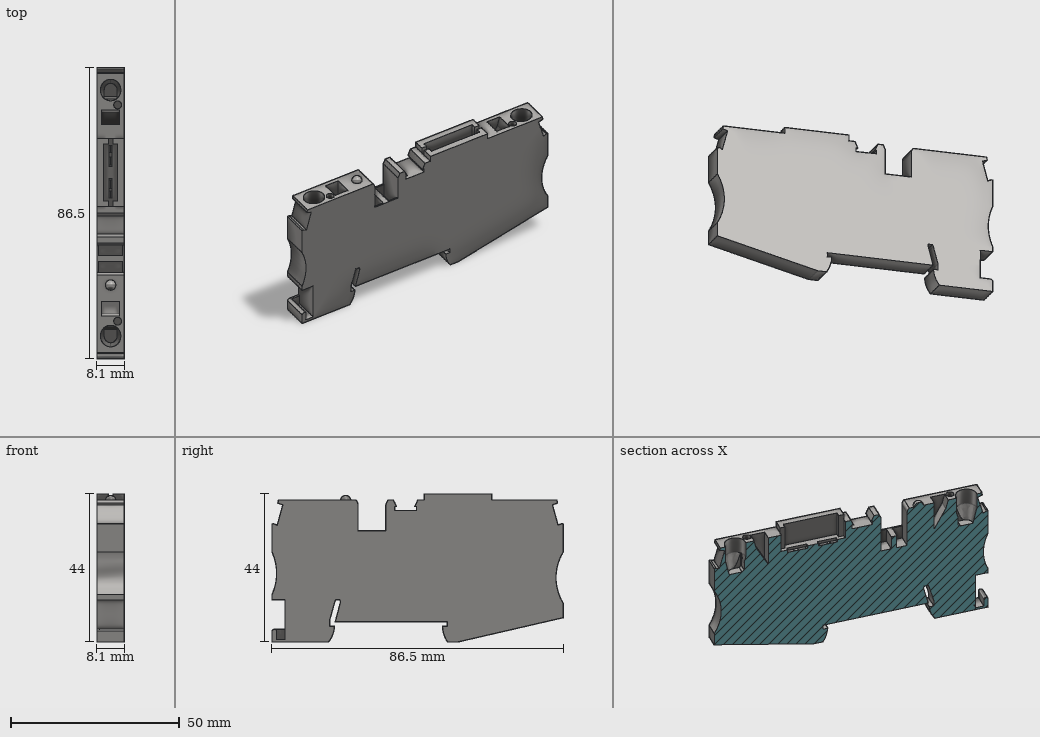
import cadquery as cq

THICKNESS = 8.1
LENGTH = 86.5
HEIGHT = 44.0
HOUSING_TOP = 42.2
END = LENGTH / 2

LIP_TOP_Y = 41.35
LIP_Y = 41.5
LIP_Z = 41.3
RECESS_TOP = (40.05, 40.7)
RECESS_BOTTOM = (41.7, 34.8)
RIDGE_Y = 42.7
RIDGE_Z = 35.2
SHOULDER_Z = 35.1
GRIP_TOP_Z = 26.8

BACK_GRIP_DEPTH = 2.2
BACK_GRIP_BOTTOM_Z = 11.5
BACK_CORNER_Z = 7.3
UNDERSIDE_END_Y = 11.8

SEAT_Z = 6.05
HOOK_Z = 4.8
HOOK_SHOULDER_Z = 4.5
FIXED_HOOK_ROOT_Y = 8.7
FIXED_HOOK_TIP_Y = 7.35
FIXED_HOOK_MID = (7.9, 2.0)
FIXED_HOOK_BASE_Y = 8.9
SEAT_FRONT_Y = -24.5
SPRING_SLOT_TOP_Z = 12.5
SPRING_SLOT_CORNER_Z = 11.9
SPRING_SLOT_TOP_YS = (-23.1, -24.3)
SPRING_SLOT_BACK_Y = -22.9
SPRING_SLOT_FRONT_Y = -24.6
SPRING_HOOK_ROOT_Y = -26.0
SPRING_SLOT_BEND_Z = 6.7
SPRING_HOOK_TIP_Y = -24.65
SPRING_HOOK_MID = (-25.3, 2.0)
SPRING_HOOK_BASE_Y = -26.5

FOOT_Z = 3.9
FOOT_LIP_EDGE_Z = 3.3
FOOT_LIP_MID = (-42.9, 3.7)
FOOT_LIP_CREST_Y = -42.4
FOOT_LIP_INNER_RADIUS = 0.5
FOOT_POCKET_SIDE_X = -3.4
FOOT_POCKET_FLOOR_Z = 0.9
NOTCH_Y = -39.4
NOTCH_TOP_Z = 12.5
FRONT_GRIP_DEPTH = 1.4
FRONT_GRIP_BOTTOM_Z = 14.1

SLOT_YS = (-17.65, -9.5)
SLOT_FLOOR_Z = 33.1
SLOT_LEAD_IN = 0.7
SLOT_LEAD_IN_Z = 40.7
SLOT_POCKET_WIDTH = 7.2
SLOT_POCKET_DEPTH = 4.3
SLOT_POCKET_YS = ((-17.65, -14.45), (-12.6, -9.5))

MARKER_YS = (-6.75, -0.35)
MARKER_FLOOR_Z = 39.1
MARKER_LIP_Z = 40.2
MARKER_LIP = 0.5
MARKER_MOUTH_YS = (-7.2, 0.0)

BLOCK_YS = (1.9, 22.1)
CAVITY_YS = (3.55, 20.5)
CAVITY_WIDTH = 4.15
CHANNEL_WIDTH = 1.3
CAVITY_FLOOR_Z = 36.3
SLIT_WIDTH = 0.9
SLIT_DEPTH = 0.9
SLIT_V_DEPTH = 0.9
SLIT_YS = ((4.4, 10.3), (13.75, 20.0))
SLIT_V_YS = ((4.4, 6.5), (7.35, 9.8), (14.2, 16.6), (17.9, 20.0))

FUNNEL_Y = 36.5
FUNNEL_RADII = (3.0, 3.2)
FUNNEL_BORE_RADII = (1.9, 2.0)
FUNNEL_STRAIGHT_DEPTH = 5.2
FUNNEL_DEPTH = 10.4
FUNNEL_FLAT_RISE = 0.5
FUNNEL_FLAT_RUN = 0.7
FUNNEL_FLAT_WIDTH = 3.9
TEST_HOLE_X = 2.1
TEST_HOLE_Y = 32.1
TEST_HOLE_DIAMETER = 2.3
TEST_HOLE_DEPTH = 4.3
RELEASE_X = -0.1
RELEASE_WIDTH = 5.4
RELEASE_YS = (26.2, 30.6)
RELEASE_BREAK_Y = 29.8
RELEASE_BREAK_DEPTH = 2.9
RELEASE_DEPTH = 9.5

DOME_Y = -21.4
DOME_RADIUS = 1.6
DOME_HEIGHT = 1.4


def box(x_mid, width, ys, zs):
    """Box centred on x_mid that spans the given Y and Z ranges."""
    size = (width, ys[1] - ys[0], zs[1] - zs[0])
    return cq.Workplane("XY").box(*size, centered=(True, False, False)).translate((x_mid, ys[0], zs[0]))


def prism(points, width, x_mid=0.0):
    """Straight-sided (Y, Z) outline extruded along X, centred on x_mid."""
    return cq.Workplane("YZ").polyline(points).close().extrude(width / 2, both=True).translate((x_mid, 0, 0))


def grip_mid_z(bottom_z):
    return (GRIP_TOP_Z + bottom_z) / 2


def end_recess(side):
    """Points of the label recess, from the top edge down to the grip hollow; side is +1 or -1."""
    points = [
        (LIP_TOP_Y, HOUSING_TOP),
        (LIP_Y, LIP_Z),
        RECESS_TOP,
        RECESS_BOTTOM,
        (RIDGE_Y, RIDGE_Z),
        (END, SHOULDER_Z),
        (END, GRIP_TOP_Z),
    ]
    return [(side * y, z) for y, z in points]


def housing():
    back = end_recess(1)
    front = end_recess(-1)
    outline = cq.Workplane("YZ").moveTo(*back[0])
    for point in back[1:]:
        outline = outline.lineTo(*point)

    outline = (
        outline.threePointArc(
            (END - BACK_GRIP_DEPTH, grip_mid_z(BACK_GRIP_BOTTOM_Z)), (END, BACK_GRIP_BOTTOM_Z)
        )
        .lineTo(END, BACK_CORNER_Z)
        .lineTo(UNDERSIDE_END_Y, 0)
        .lineTo(FIXED_HOOK_BASE_Y, 0)
        .threePointArc(FIXED_HOOK_MID, (FIXED_HOOK_TIP_Y, HOOK_SHOULDER_Z))
        .lineTo(FIXED_HOOK_TIP_Y, HOOK_Z)
        .lineTo(FIXED_HOOK_ROOT_Y, HOOK_Z)
        .lineTo(FIXED_HOOK_ROOT_Y, SEAT_Z)
    )

    outline = (
        outline.lineTo(SEAT_FRONT_Y, SEAT_Z)
        .lineTo(SPRING_SLOT_BACK_Y, SPRING_SLOT_CORNER_Z)
        .lineTo(SPRING_SLOT_TOP_YS[0], SPRING_SLOT_TOP_Z)
        .lineTo(SPRING_SLOT_TOP_YS[1], SPRING_SLOT_TOP_Z)
        .lineTo(SPRING_SLOT_FRONT_Y, SPRING_SLOT_CORNER_Z)
        .lineTo(SPRING_HOOK_ROOT_Y, SPRING_SLOT_BEND_Z)
        .lineTo(SPRING_HOOK_ROOT_Y, HOOK_Z)
        .lineTo(SPRING_HOOK_TIP_Y, HOOK_Z)
        .lineTo(SPRING_HOOK_TIP_Y, HOOK_SHOULDER_Z)
        .threePointArc(SPRING_HOOK_MID, (SPRING_HOOK_BASE_Y, 0))
    )

    outline = (
        outline.lineTo(-END, 0)
        .lineTo(-END, FOOT_LIP_EDGE_Z)
        .threePointArc(FOOT_LIP_MID, (FOOT_LIP_CREST_Y, FOOT_Z))
        .lineTo(NOTCH_Y, FOOT_Z)
        .lineTo(NOTCH_Y, NOTCH_TOP_Z)
        .lineTo(-END, NOTCH_TOP_Z)
        .lineTo(-END, FRONT_GRIP_BOTTOM_Z)
        .threePointArc((-END + FRONT_GRIP_DEPTH, grip_mid_z(FRONT_GRIP_BOTTOM_Z)), front[-1])
    )
    for point in reversed(front[:-1]):
        outline = outline.lineTo(*point)
    return outline.close().extrude(THICKNESS / 2, both=True)


def slot():
    """Deep slot, rounded at one mouth edge and chamfered at the other, with pockets in its floor."""
    front, back = SLOT_YS
    cutter = (
        cq.Workplane("YZ")
        .moveTo(front, SLOT_FLOOR_Z)
        .lineTo(front, SLOT_LEAD_IN_Z)
        .tangentArcPoint((front - SLOT_LEAD_IN, HOUSING_TOP), relative=False)
        .lineTo(back + SLOT_LEAD_IN, HOUSING_TOP)
        .lineTo(back, SLOT_LEAD_IN_Z)
        .lineTo(back, SLOT_FLOOR_Z)
        .close()
        .extrude(THICKNESS / 2, both=True)
    )
    for ys in SLOT_POCKET_YS:
        cutter = cutter.union(box(0, SLOT_POCKET_WIDTH, ys, (SLOT_FLOOR_Z - SLOT_POCKET_DEPTH, SLOT_FLOOR_Z)))
    return cutter


def marker_groove():
    front, back = MARKER_YS
    return prism(
        [
            (front, MARKER_FLOOR_Z),
            (front, MARKER_LIP_Z),
            (front + MARKER_LIP, MARKER_LIP_Z),
            (MARKER_MOUTH_YS[0], HOUSING_TOP),
            (MARKER_MOUTH_YS[1], HOUSING_TOP),
            (back - MARKER_LIP, MARKER_LIP_Z),
            (back, MARKER_LIP_Z),
            (back, MARKER_FLOOR_Z),
        ],
        THICKNESS,
    )


def socket_cavity():
    """Cavity and channel open at the top, with slits ending in V grooves in the floor."""
    depth_range = (CAVITY_FLOOR_Z, HEIGHT)
    cutter = box(0, CAVITY_WIDTH, CAVITY_YS, depth_range).union(box(0, CHANNEL_WIDTH, BLOCK_YS, depth_range))
    slit_floor = CAVITY_FLOOR_Z - SLIT_DEPTH
    for ys in SLIT_YS:
        cutter = cutter.union(box(0, SLIT_WIDTH, ys, (slit_floor, CAVITY_FLOOR_Z)))
    for front, back in SLIT_V_YS:
        groove = (
            cq.Workplane("XZ", origin=(0, back, 0))
            .moveTo(-SLIT_WIDTH / 2, slit_floor)
            .lineTo(SLIT_WIDTH / 2, slit_floor)
            .lineTo(0, slit_floor - SLIT_V_DEPTH)
            .close()
            .extrude(back - front)
        )
        cutter = cutter.union(groove)
    return cutter


def foot_pocket():
    """Pocket behind the rounded foot lip, closed on the -X side and open on the +X side."""
    width = THICKNESS / 2 - FOOT_POCKET_SIDE_X
    x_mid = THICKNESS / 2 - width / 2
    lip_inner_y = FOOT_LIP_CREST_Y + FOOT_LIP_INNER_RADIUS
    cutter = (
        cq.Workplane("YZ")
        .moveTo(NOTCH_Y, FOOT_Z)
        .lineTo(NOTCH_Y, FOOT_POCKET_FLOOR_Z)
        .lineTo(lip_inner_y, FOOT_POCKET_FLOOR_Z)
        .lineTo(lip_inner_y, FOOT_Z - FOOT_LIP_INNER_RADIUS)
        .tangentArcPoint((FOOT_LIP_CREST_Y, FOOT_Z), relative=False)
        .close()
        .extrude(width / 2, both=True)
    )
    return cutter.translate((x_mid, 0, 0))


def wire_funnel():
    """Oval well that tapers to a small oval floor, with a sloped flat on its inner side."""
    floor_z = HOUSING_TOP - FUNNEL_DEPTH
    taper_z = HOUSING_TOP - FUNNEL_STRAIGHT_DEPTH
    floor_plane = cq.Workplane("XY", origin=(0, FUNNEL_Y, floor_z))
    taper = (
        floor_plane.ellipse(*FUNNEL_BORE_RADII)
        .workplane(offset=taper_z - floor_z)
        .ellipse(*FUNNEL_RADII)
        .loft()
    )
    well = cq.Workplane("XY", origin=(0, FUNNEL_Y, taper_z)).ellipse(*FUNNEL_RADII)
    well = well.extrude(FUNNEL_STRAIGHT_DEPTH)

    flat_y = FUNNEL_Y - FUNNEL_BORE_RADII[1]
    flat = prism(
        [
            (FUNNEL_Y, floor_z),
            (flat_y, floor_z),
            (flat_y - FUNNEL_FLAT_RUN, floor_z + FUNNEL_FLAT_RISE),
            (flat_y - FUNNEL_FLAT_RUN, taper_z),
            (FUNNEL_Y, taper_z),
        ],
        FUNNEL_FLAT_WIDTH,
    )
    flat = flat.intersect(floor_plane.ellipse(*FUNNEL_RADII).extrude(FUNNEL_DEPTH))
    return well.union(taper).union(flat)


def terminal():
    """All openings of the terminal at the +Y end."""
    test_hole = (
        cq.Workplane("XY", origin=(TEST_HOLE_X, TEST_HOLE_Y, HOUSING_TOP))
        .circle(TEST_HOLE_DIAMETER / 2)
        .extrude(-TEST_HOLE_DEPTH)
    )
    inner, outer = RELEASE_YS
    release = prism(
        [
            (inner, HOUSING_TOP),
            (outer, HOUSING_TOP),
            (RELEASE_BREAK_Y, HOUSING_TOP - RELEASE_BREAK_DEPTH),
            (inner, HOUSING_TOP - RELEASE_DEPTH),
        ],
        RELEASE_WIDTH,
        RELEASE_X,
    )
    return wire_funnel().union(test_hole).union(release)


def indicator_dome():
    centre_z = HOUSING_TOP + DOME_HEIGHT - DOME_RADIUS
    return cq.Workplane("XY").sphere(DOME_RADIUS).translate((0, DOME_Y, centre_z))


back_terminal = terminal()
front_terminal = back_terminal.mirror("XZ")

result = (
    housing()
    .union(box(0, THICKNESS, BLOCK_YS, (MARKER_FLOOR_Z, HEIGHT)))
    .cut(slot())
    .cut(marker_groove())
    .cut(socket_cavity())
    .cut(foot_pocket())
    .cut(back_terminal)
    .cut(front_terminal)
    .union(indicator_dome())
)